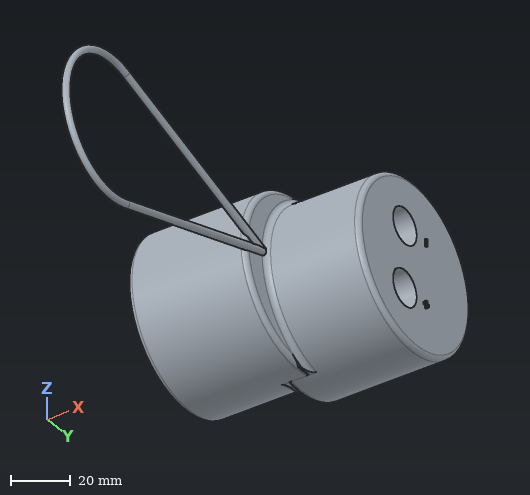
import cadquery as cq
import math

body_length = 85.5
body_diameter = 67.0
axis_offset = 6.0
overlap_half_width = 4.9
edge_radius = 1.9
root_radius = 2.0

hole_diameter = 14.1
hole_spacing = 24.9

mark_height = 0.5
mark_length = 2.8
mark_width = 0.8
left_mark_y = -22.6
right_mark_y = 12.5

total_length = 188.4
wire_diameter = 3.0
wire_x = 5.0
loop_radius = 27.5
leg_angle = math.radians(17.7)

body_radius = body_diameter / 2
half_length = body_length / 2
hole_z = hole_spacing / 2


def half_turn(shape):
    return shape.rotate((0, 0, 0), (0, 0, 1), 180)


def make_body():
    """Rounded cylinder on the -X side, reaching past X = 0 by half the overlap."""
    return (
        cq.Workplane("YZ", origin=(-half_length, -axis_offset, 0))
        .circle(body_radius)
        .extrude(half_length + overlap_half_width)
        .edges()
        .fillet(edge_radius)
    )


def make_root_fillet():
    """Concave ring around the -X body, in the corner with the step face of the +X body."""
    step_x = -overlap_half_width
    ring_end_x = step_x + edge_radius / 2
    ring_bottom = body_radius - root_radius
    ring_top = body_radius + root_radius
    ring = (
        cq.Workplane("XY")
        .moveTo(step_x - root_radius, ring_bottom)
        .lineTo(step_x - root_radius, body_radius)
        .radiusArc((step_x, ring_top), -root_radius)
        .lineTo(ring_end_x, ring_top)
        .lineTo(ring_end_x, ring_bottom)
        .close()
        .revolve(360, (0, 0, 0), (1, 0, 0))
        .translate((0, -axis_offset, 0))
    )
    outline = (
        cq.Workplane("YZ", origin=(0, axis_offset, 0))
        .circle(body_radius)
        .extrude(half_length, both=True)
    )
    return ring.intersect(outline)


def make_joined_bodies():
    half = make_body()
    root = make_root_fillet()
    return half.union(half_turn(half)).union(root).union(half_turn(root))


def make_holes():
    return (
        cq.Workplane("YZ", origin=(-half_length, 0, 0))
        .pushPoints([(0, -hole_z), (0, hole_z)])
        .circle(hole_diameter / 2)
        .extrude(body_length)
    )


def make_marks(y, start_x, end_x):
    """Minus beside the upper hole and plus beside the lower one, as bars along X."""
    marks = (
        cq.Workplane("YZ", origin=(start_x, y, 0))
        .pushPoints([(0, hole_z), (0, -hole_z)])
        .rect(mark_width, mark_length)
        .extrude(end_x - start_x)
    )
    plus_bar = (
        cq.Workplane("YZ", origin=(start_x, y, -hole_z))
        .rect(mark_length, mark_width)
        .extrude(end_x - start_x)
    )
    return marks.union(plus_bar)


def make_loop():
    """Round wire: a wide arc whose two tangent legs meet beside the bodies."""
    tip_y = axis_offset + body_radius - total_length
    centre_y = tip_y + wire_diameter / 2 + loop_radius
    tangent_y = centre_y + loop_radius * math.sin(leg_angle)
    tangent_z = loop_radius * math.cos(leg_angle)
    leg_length = loop_radius / math.tan(leg_angle)
    leg_plane = cq.Plane(
        origin=(wire_x, tangent_y, tangent_z),
        xDir=(1, 0, 0),
        normal=(0, math.cos(leg_angle), -math.sin(leg_angle)),
    )
    arc = (
        cq.Workplane(leg_plane)
        .circle(wire_diameter / 2)
        .revolve(180 + 2 * math.degrees(leg_angle), (0, loop_radius, 0), (1, loop_radius, 0))
    )
    leg = cq.Workplane(leg_plane).circle(wire_diameter / 2).extrude(leg_length)
    return arc.union(leg).union(leg.mirror("XY"))


bodies = make_joined_bodies().cut(make_holes())
left_marks = make_marks(left_mark_y, -half_length - mark_height, -half_length + edge_radius)
right_marks = make_marks(right_mark_y, half_length - edge_radius, half_length + mark_height)
result = bodies.union(left_marks).union(right_marks).union(make_loop())